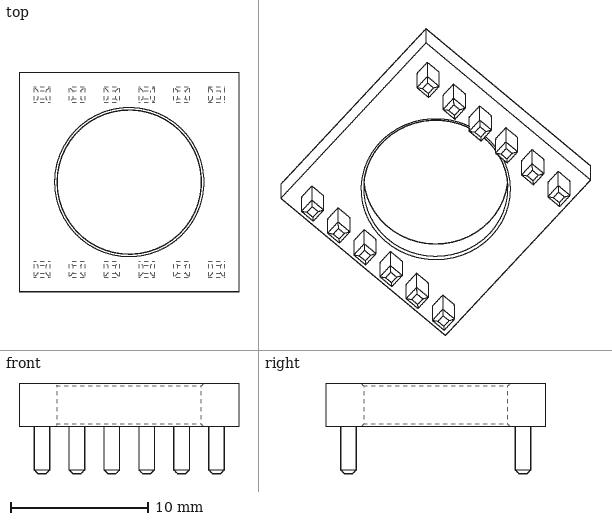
import cadquery as cq

plate_side = 16.0
overall_height = 6.6
plate_thickness = 3.15

hole_diameter = 10.5
hole_chamfer = 0.2

pins_per_row = 6
pin_pitch = 2.55
pin_width = 1.15
pin_tip_chamfer = 0.29
row_spacing = (pins_per_row - 1) * pin_pitch
pin_length = overall_height - plate_thickness


def make_plate():
    """Plate standing on Z = 0 with a hole chamfered at both rims."""
    plate = cq.Workplane("XY").rect(plate_side, plate_side).extrude(plate_thickness)
    plate = plate.faces(">Z").workplane().hole(hole_diameter)
    return plate.faces(">Z or <Z").edges("%CIRCLE").chamfer(hole_chamfer)


def make_pins():
    """Both rows of pins, hanging below Z = 0 with chamfered tips."""
    pins = (
        cq.Workplane("XY")
        .rarray(pin_pitch, row_spacing, pins_per_row, 2)
        .rect(pin_width, pin_width)
        .extrude(-pin_length)
    )
    return pins.faces("<Z").edges().chamfer(pin_tip_chamfer)


result = make_plate().union(make_pins())